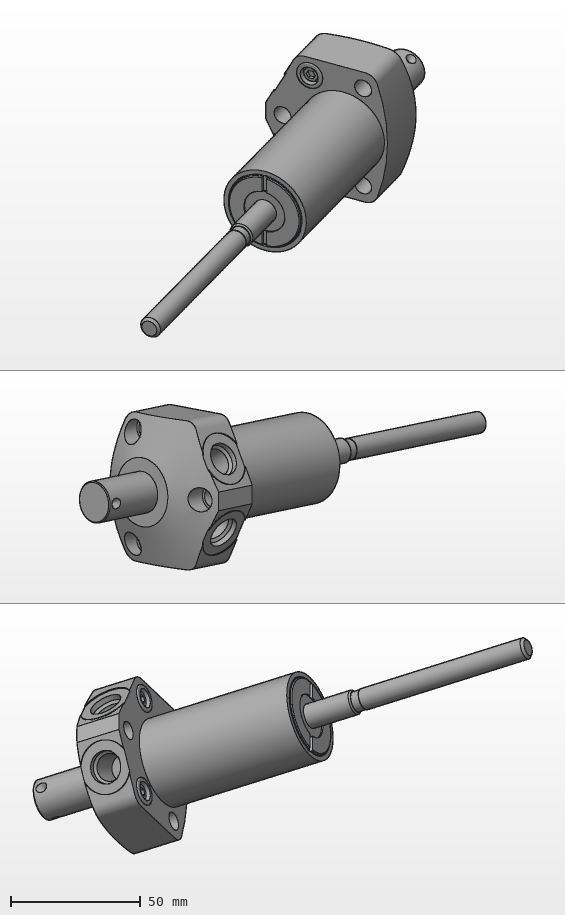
import cadquery as cq
import math


FLANGE_LEFT = 33.5
FLANGE_RIGHT = 19.2
FLANGE_HALF_HEIGHT = 29.3
FLANGE_THICKNESS = 26.0
LEFT_FLAT_HALF_HEIGHT = 3.7
SIDE_TILT = 28
CORNER_RADIUS = 5.5
RIGHT_CORNER_X = 9.5
CONE_FLAT_RADIUS = 13.5
CONE_SLOPE = 20

MOUNT_HOLE_RADIUS = 3.7
SEAT_RADIUS = 4.7
SEAT_Y = 15
MOUNT_HOLES = [(-26.3, 0), (8.6, 22.0), (8.6, -22.0)]

SCREW_X = -14.5
SCREW_Z = 21.3
SCREW_COLLAR_RADIUS = 5.5
SCREW_COLLAR_HEIGHT = 0.6
SCREW_COLLAR_FILLET = 0.5
SCREW_BORE_RADIUS = 3.9
SCREW_BORE_DEPTH = 2.2
SCREW_HEAD_RADIUS = 3.0
SCREW_HEAD_DROP = 0.6
SCREW_SOCKET_RADIUS = 2.0

PORT_Y = 9.5
PORT_Z = 14.6
SPOTFACE_RADIUS = 10.5
SPOTFACE_DEPTH = 0.5
PORT_RADIUS = 5.4
PORT_DEPTH = 16.4
PORT_MOUTH_DEPTH = 2.4
PORT_CHAMFER = 1.0
PORT_MOUTH_RADIUS = PORT_RADIUS + PORT_CHAMFER

BARREL_RADIUS = 17.9
BARREL_LENGTH = 65.5
INSERT_RADIUS = 15.5
INSERT_PROTRUSION = 0.6
INSERT_CHAMFER = 0.5
GROOVE_WIDTH = 0.5
GROOVE_DEPTH = 1.0
INSERT_RECESS_RADIUS = 8.8
INSERT_RECESS_DEPTH = 0.6
SLOT_WIDTH = 2.0
SLOT_DEPTH = 1.3

ROD_TIP = 162.4
ROD_RADIUS = 4.3
ROD_CHAMFER = 1.0
NECK_RADIUS = 4.0
NECK_END = 89.4
COLLAR_RADIUS = 5.0
COLLAR_END = 86.0
COLLAR_CHAMFER = 0.6

TOTAL_LENGTH = 215.3
SHAFT_RADIUS = 8.2
SHAFT_END = TOTAL_LENGTH - ROD_TIP
SHAFT_CHAMFER = 0.5
DIMPLE_RADIUS = 2.4
DIMPLE_INSET = 3.9
DIMPLE_ANGLES = [60, 180, 300]


def cylinder(radius, y_start, y_end, x=0, z=0):
    """Cylinder along Y between two Y positions."""
    length = y_end - y_start
    return cq.Workplane(cq.Solid.makeCylinder(radius, length, cq.Vector(x, y_start, z), cq.Vector(0, 1, 0)))


def directed_cylinder(radius, length, start, direction):
    """Cylinder from a start point along any direction."""
    return cq.Workplane(cq.Solid.makeCylinder(radius, length, start, direction))


def flange_blank():
    """Six-sided outline with rounded corners, mirrored about z = 0, under a conical back face."""
    tilt = math.radians(SIDE_TILT)
    corner_z = FLANGE_HALF_HEIGHT - CORNER_RADIUS
    side_end_z = corner_z + CORNER_RADIUS * math.sin(tilt)
    side_end_x = -FLANGE_LEFT + (side_end_z - LEFT_FLAT_HALF_HEIGHT) * math.tan(tilt)
    left_corner_x = side_end_x + CORNER_RADIUS * math.cos(tilt)
    left_mid = math.radians(90 + (90 - SIDE_TILT) / 2)
    inner_reach = FLANGE_RIGHT - CORNER_RADIUS
    arc_center_x = (inner_reach**2 - RIGHT_CORNER_X**2 - corner_z**2) / (2 * (inner_reach - RIGHT_CORNER_X))
    join = math.atan2(corner_z, RIGHT_CORNER_X - arc_center_x)
    right_mid = (join + math.pi / 2) / 2

    def on_corner(center_x, angle, side):
        x = center_x + CORNER_RADIUS * math.cos(angle)
        return x, side * (corner_z + CORNER_RADIUS * math.sin(angle))

    outline = (
        cq.Workplane("XZ")
        .moveTo(-FLANGE_LEFT, -LEFT_FLAT_HALF_HEIGHT)
        .lineTo(-FLANGE_LEFT, LEFT_FLAT_HALF_HEIGHT)
        .lineTo(side_end_x, side_end_z)
        .threePointArc(on_corner(left_corner_x, left_mid, 1), (left_corner_x, FLANGE_HALF_HEIGHT))
        .lineTo(RIGHT_CORNER_X, FLANGE_HALF_HEIGHT)
        .threePointArc(on_corner(RIGHT_CORNER_X, right_mid, 1), on_corner(RIGHT_CORNER_X, join, 1))
        .threePointArc((FLANGE_RIGHT, 0), on_corner(RIGHT_CORNER_X, join, -1))
        .threePointArc(on_corner(RIGHT_CORNER_X, right_mid, -1), (RIGHT_CORNER_X, -FLANGE_HALF_HEIGHT))
        .lineTo(left_corner_x, -FLANGE_HALF_HEIGHT)
        .threePointArc(on_corner(left_corner_x, left_mid, -1), (side_end_x, -side_end_z))
        .close()
        .extrude(-FLANGE_THICKNESS)
    )
    cone_reach = math.hypot(FLANGE_LEFT, FLANGE_HALF_HEIGHT)
    cone_rim_y = FLANGE_THICKNESS - (cone_reach - CONE_FLAT_RADIUS) * math.tan(math.radians(CONE_SLOPE))
    envelope = (
        cq.Workplane("XY")
        .lineTo(cone_reach, 0)
        .lineTo(cone_reach, cone_rim_y)
        .lineTo(CONE_FLAT_RADIUS, FLANGE_THICKNESS)
        .lineTo(0, FLANGE_THICKNESS)
        .close()
        .revolve(360, (0, 0), (0, 1))
    )
    return outline.intersect(envelope)


def port(side):
    """Spotface, wider mouth and blind hole, square to one tilted side."""
    tilt = math.radians(SIDE_TILT)
    face_x = -FLANGE_LEFT + (PORT_Z - LEFT_FLAT_HALF_HEIGHT) * math.tan(tilt)
    inward = cq.Vector(math.cos(tilt), 0, -side * math.sin(tilt))
    face = cq.Vector(face_x, PORT_Y, side * PORT_Z)
    floor = face + inward * SPOTFACE_DEPTH
    spotface = directed_cylinder(SPOTFACE_RADIUS, 2 * SPOTFACE_DEPTH, floor, inward * -1)
    hole = directed_cylinder(PORT_RADIUS, PORT_DEPTH, floor, inward)
    mouth = directed_cylinder(PORT_MOUTH_RADIUS, PORT_MOUTH_DEPTH, floor, inward)
    mouth_end = floor + inward * PORT_MOUTH_DEPTH
    chamfer = cq.Solid.makeCone(PORT_MOUTH_RADIUS, PORT_RADIUS, PORT_CHAMFER, mouth_end, inward)
    return spotface.union(mouth).union(hole).union(cq.Workplane(chamfer))


def screw_collar(z):
    collar = cylinder(SCREW_COLLAR_RADIUS, -SCREW_COLLAR_HEIGHT, SCREW_BORE_DEPTH, SCREW_X, z)
    return collar.faces("<Y").edges().fillet(SCREW_COLLAR_FILLET)


def screw_recess(z):
    """Ring-shaped gap around the sunken screw head, and the hexagon socket in the head."""
    bore = cylinder(SCREW_BORE_RADIUS, -SCREW_COLLAR_HEIGHT, SCREW_BORE_DEPTH, SCREW_X, z)
    head = cylinder(SCREW_HEAD_RADIUS, SCREW_HEAD_DROP, SCREW_BORE_DEPTH, SCREW_X, z)
    socket = (
        cq.Workplane("XZ")
        .center(SCREW_X, z)
        .polygon(6, 2 * SCREW_SOCKET_RADIUS)
        .extrude(-SCREW_BORE_DEPTH)
    )
    return bore.cut(head.cut(socket))


def barrel():
    """Barrel closed by a slotted insert that stands slightly proud, with a thin groove around it."""
    insert_end = -BARREL_LENGTH - INSERT_PROTRUSION
    groove = cylinder(INSERT_RADIUS + GROOVE_WIDTH, -BARREL_LENGTH, GROOVE_DEPTH - BARREL_LENGTH)
    insert = cylinder(INSERT_RADIUS, insert_end, GROOVE_DEPTH - BARREL_LENGTH)
    insert = insert.faces("<Y").chamfer(INSERT_CHAMFER)
    slot = cq.Workplane("XY").box(SLOT_WIDTH, SLOT_DEPTH, 2 * INSERT_RADIUS, centered=(True, False, True))
    slot = slot.translate((0, insert_end, 0))
    recess = cylinder(INSERT_RECESS_RADIUS, insert_end, insert_end + INSERT_RECESS_DEPTH)
    core = cylinder(INSERT_RECESS_RADIUS, insert_end, insert_end + SLOT_DEPTH)
    insert = insert.cut(slot.cut(core)).cut(recess)
    return cylinder(BARREL_RADIUS, -BARREL_LENGTH, 0).cut(groove).union(insert)


def rod():
    """Collar, short neck and long thin rod."""
    tip = cylinder(ROD_RADIUS, -ROD_TIP, -NECK_END).faces("<Y").chamfer(ROD_CHAMFER)
    neck = cylinder(NECK_RADIUS, -NECK_END, -COLLAR_END)
    collar = cylinder(COLLAR_RADIUS, -COLLAR_END, -BARREL_LENGTH + GROOVE_DEPTH)
    return collar.faces("<Y").chamfer(COLLAR_CHAMFER).union(neck).union(tip)


def rear_shaft():
    shaft = cylinder(SHAFT_RADIUS, 0, SHAFT_END).faces(">Y").chamfer(SHAFT_CHAMFER)
    center = cq.Vector(0, SHAFT_END - DIMPLE_INSET, 0)
    for degrees in DIMPLE_ANGLES:
        angle = math.radians(degrees)
        outward = cq.Vector(math.cos(angle), 0, math.sin(angle))
        apex = center + outward * (SHAFT_RADIUS - DIMPLE_RADIUS)
        cone_size = 2 * DIMPLE_RADIUS
        shaft = shaft.cut(cq.Workplane(cq.Solid.makeCone(0, cone_size, cone_size, apex, outward)))
    return shaft


flange = flange_blank()
for x, z in MOUNT_HOLES:
    flange = flange.cut(cylinder(MOUNT_HOLE_RADIUS, 0, FLANGE_THICKNESS, x, z))
    flange = flange.cut(cylinder(SEAT_RADIUS, SEAT_Y, FLANGE_THICKNESS, x, z))
for side in (1, -1):
    flange = flange.cut(port(side))
    flange = flange.union(screw_collar(side * SCREW_Z))
    flange = flange.cut(screw_recess(side * SCREW_Z))

result = flange.union(barrel()).union(rod()).union(rear_shaft())